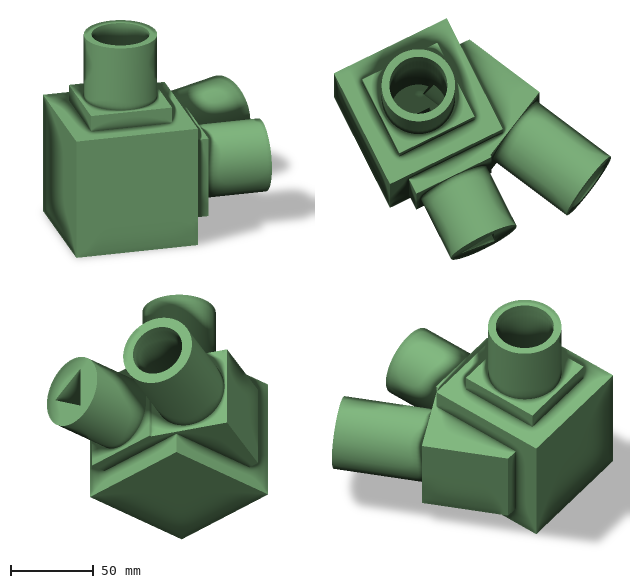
import cadquery as cq
import math

body_side = 76.2
half_body = body_side / 2

collar_side = 50.8
half_collar = collar_side / 2
collar_height = 10.2
pipe_diameter = 44.5
pipe_length = 40.6
collar_end = half_body + collar_height
pipe_end = collar_end + pipe_length

top_bore_diameter = 35.1
branch_bore_diameter = 31.8
back_passage_diameter = 29.7

branch_lean = math.radians(26.2)
branch_face_x = -47.7
branch_face_y = 35.9
branch_outer_reach = 24.0
branch_block_bottom = -22.5
branch_pipe_length = 55.9
branch_bore_depth = 58.3

lean_sin = math.sin(branch_lean)
lean_cos = math.cos(branch_lean)

top_plane = cq.Plane.XY()
back_plane = cq.Plane(origin=(0, 0, 0), xDir=(1, 0, 0), normal=(0, 1, 0))
branch_plane = cq.Plane(
    origin=(branch_face_x, branch_face_y, 0),
    xDir=(lean_cos, lean_sin, 0),
    normal=(-lean_sin, lean_cos, 0),
)


def square_post(plane, length):
    return cq.Workplane(plane).rect(collar_side, collar_side).extrude(length)


def round_post(plane, diameter, start, end):
    return cq.Workplane(plane).workplane(offset=start).circle(diameter / 2).extrude(end - start)


def branch_block():
    """Block whose leaning face meets the back collar and whose foot runs into the body."""
    outer_corner = (
        branch_face_x - branch_outer_reach * lean_cos,
        branch_face_y - branch_outer_reach * lean_sin,
    )
    inner_corner = (
        branch_face_x + half_collar * lean_cos,
        branch_face_y + half_collar * lean_sin,
    )
    foot_drop = outer_corner[1] - branch_block_bottom
    foot_x = outer_corner[0] + foot_drop * math.tan(branch_lean)
    outline = [
        outer_corner,
        inner_corner,
        (0, inner_corner[1]),
        (0, branch_block_bottom),
        (foot_x, branch_block_bottom),
    ]
    return cq.Workplane("XY").polyline(outline).close().extrude(half_collar, both=True)


result = cq.Workplane("XY").box(body_side, body_side, body_side)
for plane in (top_plane, back_plane):
    result = result.union(square_post(plane, collar_end))
    result = result.union(round_post(plane, pipe_diameter, 0, pipe_end))
result = result.union(branch_block())
result = result.union(round_post(branch_plane, pipe_diameter, 0, branch_pipe_length))

top_bore = round_post(top_plane, top_bore_diameter, 0, pipe_end)
branch_bore = round_post(branch_plane, branch_bore_diameter, -branch_bore_depth, branch_pipe_length)
back_passage = cq.Workplane(back_plane).polygon(3, back_passage_diameter).extrude(pipe_end)
result = result.cut(top_bore).cut(branch_bore).cut(back_passage)